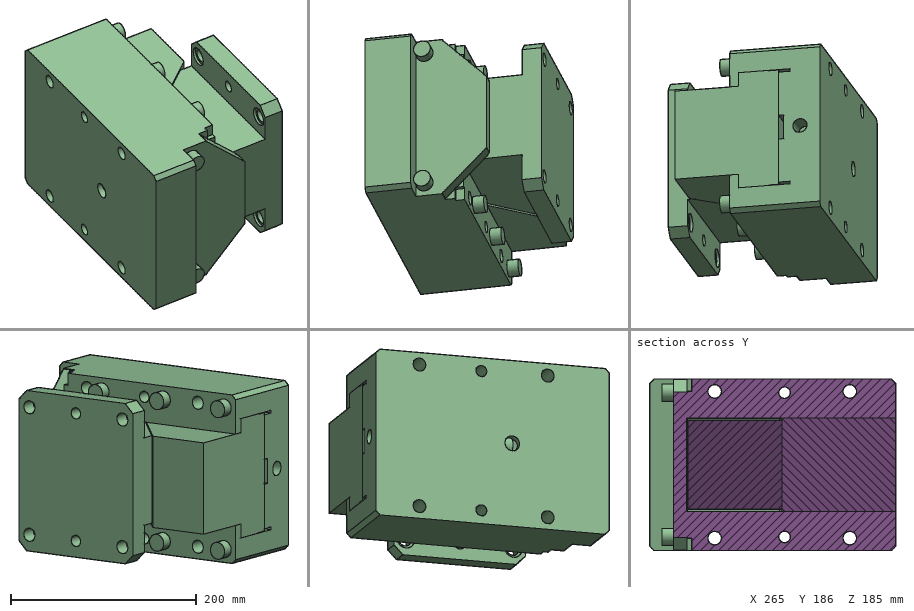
import cadquery as cq
import math


LENGTH = 265.0
HALF_WIDTH = 92.5
HOUSING_HEIGHT = 100.0
CORNER_CHAMFER = 4.8
END_STEP_HEIGHT = 50.5

WALL_INNER_X = 225.0
WALL_OUTER_X = 239.5
WALL_SHOULDER_Y = 79.8
WALL_TOP_Y = 128.8
WALL_TOP_HALF_WIDTH = 42.7
WALL_LEAD_IN = 2.5

SIDE_RELIEF_X = 220.0
SIDE_RELIEF_DEPTH = 13.2

CHANNEL_FLOOR_Y = 45.5
LIP_UNDERSIDE_Y = 90.0
T_HALF_WIDTH = 65.5
NECK_HALF_WIDTH = 50.0
CENTRE_SLOT_HALF_WIDTH = 13.5
CENTRE_SLOT_FLOOR_Y = 40.0
CORNER_SLOT_WIDTH = 3.0
CORNER_SLOT_FLOOR_Y = 33.0

SCREW_RADIUS = 9.3
SCREW_HEIGHT = 12.5
SCREW_Z = 77.6
SCREW_XS = (15.0, 95.0, 175.2)
END_SCREW_Y = 60.2

MOUNTING_RADIUS = 7.2
MOUNTING_XS = (49.5, 195.0)
MOUNTING_Z = 79.0
DOWEL_RADIUS = 6.0
HOUSING_DOWEL_X = 119.8
HOUSING_DOWEL_Z = 77.6
END_HOLE_RADIUS = 7.7
END_HOLE_Y = 22.0
END_HOLE_DEPTH = 26.5

ACCESS_RADIUS = 8.2
ACCESS_X = 154.8
ROD_RADIUS = 12.0
ROD_CROWN_Y = 5.8
NOTCH_X = 157.5
NOTCH_RAMP_ANGLE = 38.0

WEDGE_TOP_Y = 160.3
WEDGE_TOP_LENGTH = 66.5
SLANT_ANGLE = 50.2
WEDGE_RELIEF = 0.5
WEDGE_RELIEF_TOP_Y = 56.2

SLIDER_START_X = 75.0
SLIDER_END_X = 224.2
SLIDER_NECK_HALF_WIDTH = 48.0
FLANGE_BOTTOM_Y = 164.3
FLANGE_TOP_Y = 186.0
FLANGE_HALF_WIDTH = 88.0
FLANGE_CHAMFER = 10.0
FLANGE_HOLE_Z = 70.0
FLANGE_HOLE_HALF_SPAN = 61.0
COUNTERBORE_RADIUS = 10.0
COUNTERBORE_DEPTH = 3.0


def box(x0, x1, y0, y1, z0, z1):
    """Block between two opposite corners."""
    return cq.Workplane("XY").box(x1 - x0, y1 - y0, z1 - z0, centered=False).translate((x0, y0, z0))


def centred_box(x0, x1, y0, y1, half_width):
    """Block symmetric about Z = 0."""
    return box(x0, x1, y0, y1, -half_width, half_width)


def cylinder_y(x, z, radius, y0, y1):
    """Upright cylinder along Y."""
    return cq.Workplane(cq.Solid.makeCylinder(radius, y1 - y0, cq.Vector(x, y0, z), cq.Vector(0, 1, 0)))


def cylinder_x(y, z, radius, x0, x1):
    """Cylinder along X."""
    return cq.Workplane(cq.Solid.makeCylinder(radius, x1 - x0, cq.Vector(x0, y, z), cq.Vector(1, 0, 0)))


def side_prism(points, half_width):
    """Closed XY outline extruded symmetrically about Z = 0."""
    return cq.Workplane("XY").polyline(points).close().extrude(half_width, both=True)


def t_section(x0, x1, top_y, neck_half_width):
    """T-shaped bar that stands on the channel floor and fits below the lips."""
    foot = centred_box(x0, x1, CHANNEL_FLOOR_Y, LIP_UNDERSIDE_Y, T_HALF_WIDTH)
    return foot.union(centred_box(x0, x1, CHANNEL_FLOOR_Y, top_y, neck_half_width))


def slant_x(y):
    """X position of the sliding plane between wedge and slider at height y."""
    return WEDGE_TOP_LENGTH + (WEDGE_TOP_Y - y) / math.tan(math.radians(SLANT_ANGLE))


def wedge_side():
    """Space on the wedge side of the sliding plane."""
    top_y = FLANGE_BOTTOM_Y
    outline = [
        (0, CHANNEL_FLOOR_Y),
        (slant_x(CHANNEL_FLOOR_Y), CHANNEL_FLOOR_Y),
        (slant_x(top_y), top_y),
        (0, top_y),
    ]
    return side_prism(outline, HALF_WIDTH)


def housing_block():
    """Stepped block with chamfered end corners and a relief notch on each side."""
    outline = [
        (0, 0),
        (LENGTH, 0),
        (LENGTH, END_STEP_HEIGHT),
        (WALL_OUTER_X, END_STEP_HEIGHT),
        (WALL_OUTER_X, WALL_SHOULDER_Y),
        (WALL_INNER_X, WALL_SHOULDER_Y),
        (WALL_INNER_X, HOUSING_HEIGHT),
        (0, HOUSING_HEIGHT),
    ]
    block = side_prism(outline, HALF_WIDTH)
    block = block.edges("|Y and (<X or >X)").chamfer(CORNER_CHAMFER)
    for z0 in (-HALF_WIDTH, HALF_WIDTH - SIDE_RELIEF_DEPTH):
        z1 = z0 + SIDE_RELIEF_DEPTH
        block = block.cut(box(SIDE_RELIEF_X, WALL_INNER_X, LIP_UNDERSIDE_Y, HOUSING_HEIGHT, z0, z1))
    return block


def stop_wall():
    """Upper part of the stop wall, with 45 degree flanks and a lead-in on its inner top edge."""
    base_half_width = WALL_TOP_HALF_WIDTH + WALL_TOP_Y - WALL_SHOULDER_Y
    outline = [
        (WALL_SHOULDER_Y, -base_half_width),
        (WALL_SHOULDER_Y, base_half_width),
        (WALL_TOP_Y, WALL_TOP_HALF_WIDTH),
        (WALL_TOP_Y, -WALL_TOP_HALF_WIDTH),
    ]
    wall = cq.Workplane("YZ").workplane(offset=WALL_INNER_X).polyline(outline).close()
    wall = wall.extrude(WALL_OUTER_X - WALL_INNER_X)
    return wall.edges(">Y and <X").chamfer(WALL_LEAD_IN)


def channel():
    """T channel with a central slot and a narrow slot in each floor corner."""
    cut = t_section(0, WALL_INNER_X, HOUSING_HEIGHT, NECK_HALF_WIDTH)
    cut = cut.union(centred_box(0, WALL_INNER_X, CENTRE_SLOT_FLOOR_Y, CHANNEL_FLOOR_Y, CENTRE_SLOT_HALF_WIDTH))
    for z0 in (-T_HALF_WIDTH, T_HALF_WIDTH - CORNER_SLOT_WIDTH):
        z1 = z0 + CORNER_SLOT_WIDTH
        cut = cut.union(box(0, WALL_INNER_X, CORNER_SLOT_FLOOR_Y, CHANNEL_FLOOR_Y, z0, z1))
    return cut


def access_hole():
    """Access hole that ends on the notched crown of the rod."""
    rod_y = ROD_CROWN_Y + ROD_RADIUS
    rod_start = ACCESS_X - 2 * ACCESS_RADIUS
    rod_end = ACCESS_X + 2 * ACCESS_RADIUS
    rod = cylinder_x(rod_y, 0, ROD_RADIUS, rod_start, rod_end)
    notch_depth = ROD_RADIUS / 2
    notch_floor_y = ROD_CROWN_Y + notch_depth
    ramp_end_x = NOTCH_X + notch_depth / math.tan(math.radians(NOTCH_RAMP_ANGLE))
    notch_outline = [(NOTCH_X, ROD_CROWN_Y), (NOTCH_X, notch_floor_y), (ramp_end_x, ROD_CROWN_Y)]
    rod = rod.cut(side_prism(notch_outline, ROD_RADIUS))
    return cylinder_y(ACCESS_X, 0, ACCESS_RADIUS, 0, rod_y).cut(rod)


def make_housing():
    """Housing with its stop wall, channel, screw heads and holes."""
    body = housing_block().union(stop_wall()).cut(channel())
    for side in (-1, 1):
        for x in MOUNTING_XS:
            body = body.cut(cylinder_y(x, side * MOUNTING_Z, MOUNTING_RADIUS, 0, HOUSING_HEIGHT))
        body = body.cut(cylinder_y(HOUSING_DOWEL_X, side * HOUSING_DOWEL_Z, DOWEL_RADIUS, 0, HOUSING_HEIGHT))
        for x in SCREW_XS:
            top_y = HOUSING_HEIGHT + SCREW_HEIGHT
            body = body.union(cylinder_y(x, side * SCREW_Z, SCREW_RADIUS, HOUSING_HEIGHT, top_y))
        end_x = WALL_OUTER_X + SCREW_HEIGHT
        body = body.union(cylinder_x(END_SCREW_Y, side * SCREW_Z, SCREW_RADIUS, WALL_OUTER_X, end_x))
    body = body.cut(cylinder_x(END_HOLE_Y, 0, END_HOLE_RADIUS, 0, END_HOLE_DEPTH))
    return body.cut(access_hole())


def make_wedge():
    """T-section wedge that fills the channel up to the sliding plane."""
    tip_x = slant_x(CHANNEL_FLOOR_Y)
    body = t_section(0, tip_x, WEDGE_TOP_Y, NECK_HALF_WIDTH).intersect(wedge_side())
    for z0 in (-T_HALF_WIDTH, T_HALF_WIDTH - WEDGE_RELIEF):
        z1 = z0 + WEDGE_RELIEF
        body = body.cut(box(0, tip_x, CHANNEL_FLOOR_Y, WEDGE_RELIEF_TOP_Y, z0, z1))
    return body


def slider_flange():
    """Chamfered plate with counterbored screw holes and a dowel hole on each side."""
    plate = centred_box(SLIDER_START_X, SLIDER_END_X, FLANGE_BOTTOM_Y, FLANGE_TOP_Y, FLANGE_HALF_WIDTH)
    plate = plate.edges("|Y").chamfer(FLANGE_CHAMFER)
    middle_x = (SLIDER_START_X + SLIDER_END_X) / 2
    bore_top_y = FLANGE_BOTTOM_Y + COUNTERBORE_DEPTH
    for z in (-FLANGE_HOLE_Z, FLANGE_HOLE_Z):
        plate = plate.cut(cylinder_y(middle_x, z, DOWEL_RADIUS, FLANGE_BOTTOM_Y, FLANGE_TOP_Y))
        for x in (middle_x - FLANGE_HOLE_HALF_SPAN, middle_x + FLANGE_HOLE_HALF_SPAN):
            plate = plate.cut(cylinder_y(x, z, MOUNTING_RADIUS, FLANGE_BOTTOM_Y, FLANGE_TOP_Y))
            plate = plate.cut(cylinder_y(x, z, COUNTERBORE_RADIUS, FLANGE_BOTTOM_Y, bore_top_y))
    return plate


def make_slider():
    """T-section slider that rests on the sliding plane and carries the flange."""
    body = t_section(SLIDER_START_X, SLIDER_END_X, FLANGE_BOTTOM_Y, SLIDER_NECK_HALF_WIDTH)
    return body.cut(wedge_side()).union(slider_flange())


housing = make_housing()
wedge = make_wedge()
slider = make_slider()

result = cq.Compound.makeCompound([housing.solids().val(), wedge.solids().val(), slider.solids().val()])